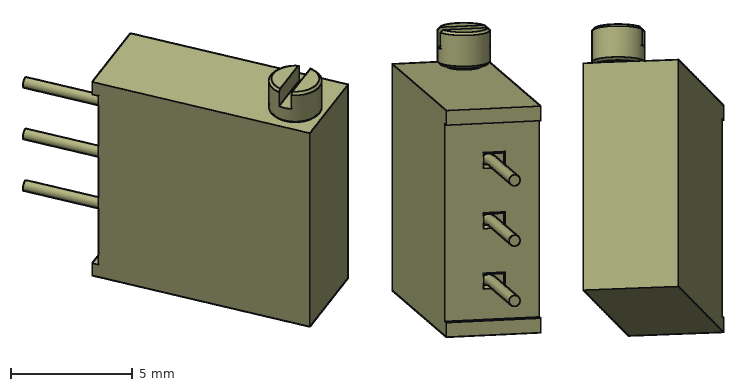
import cadquery as cq

total_length = 13.67
housing_length = 9.79
housing_width = 4.0
housing_height = 9.55
housing_start = total_length - housing_length

lip_depth = 0.29
lip_height = 0.62
pin_face = housing_start + lip_depth

pin_diameter = 0.46
pin_pitch = 2.54
pin_offset = 0.03
pin_y = housing_width / 2 + pin_offset
pin_drop = 0.01
middle_pin_height = housing_height / 2 - pin_drop
pin_heights = [middle_pin_height + step * pin_pitch for step in (-1, 0, 1)]
pocket_width = 0.92
pocket_height = 0.67
pocket_floor_height = 0.46
pocket_depth = 0.27
pocket_y = 1.9
pocket_rise = 0.01
bend_start = 0.07
bend_radius = 0.41

screw_x = 12.48
screw_y = 1.25
screw_height = 1.64
head_diameter = 2.19
head_chamfer = 0.11
neck_diameter = 1.4
neck_height = 0.12
slot_width = 0.55
slot_depth = 0.79


def make_housing():
    block = cq.Workplane("XY").box(housing_length, housing_width, housing_height, centered=False)
    block = block.translate((housing_start, 0, 0))
    recess = cq.Workplane("XY").box(
        lip_depth, housing_width, housing_height - 2 * lip_height, centered=False
    )
    return block.cut(recess.translate((housing_start, 0, lip_height)))


def make_pocket(height):
    """Rectangular pocket whose upper and lower walls slope in towards the floor."""
    mouth_half = pocket_height / 2
    floor_half = pocket_floor_height / 2
    floor_x = pin_face + pocket_depth
    return (
        cq.Workplane("XZ", origin=(0, pocket_y + pocket_width / 2, height))
        .moveTo(pin_face, pocket_rise - mouth_half)
        .lineTo(floor_x, -floor_half)
        .lineTo(floor_x, floor_half)
        .lineTo(pin_face, pocket_rise + mouth_half)
        .close()
        .extrude(pocket_width)
    )


def make_pin(height):
    """Round pin that runs into its pocket and bends towards +Y into the housing."""
    path = (
        cq.Workplane("XY", origin=(0, pin_y, height))
        .lineTo(pin_face + bend_start, 0)
        .radiusArc((pin_face + bend_start + bend_radius, bend_radius), -bend_radius)
    )
    return (
        cq.Workplane("YZ", origin=(0, pin_y, height))
        .circle(pin_diameter / 2)
        .sweep(path)
    )


def make_screw():
    """Slotted cylindrical head on a short neck."""
    neck = cq.Workplane("XY").circle(neck_diameter / 2).extrude(neck_height)
    head = (
        cq.Workplane("XY", origin=(0, 0, neck_height))
        .circle(head_diameter / 2)
        .extrude(screw_height - neck_height)
        .faces("<Z or >Z")
        .chamfer(head_chamfer)
    )
    slot = cq.Workplane("XY", origin=(0, 0, screw_height - slot_depth / 2)).box(
        slot_width, head_diameter, slot_depth
    )
    return neck.union(head).cut(slot).translate((screw_x, screw_y, housing_height))


result = make_housing().union(make_screw())
for pin_height in pin_heights:
    result = result.cut(make_pocket(pin_height)).union(make_pin(pin_height))